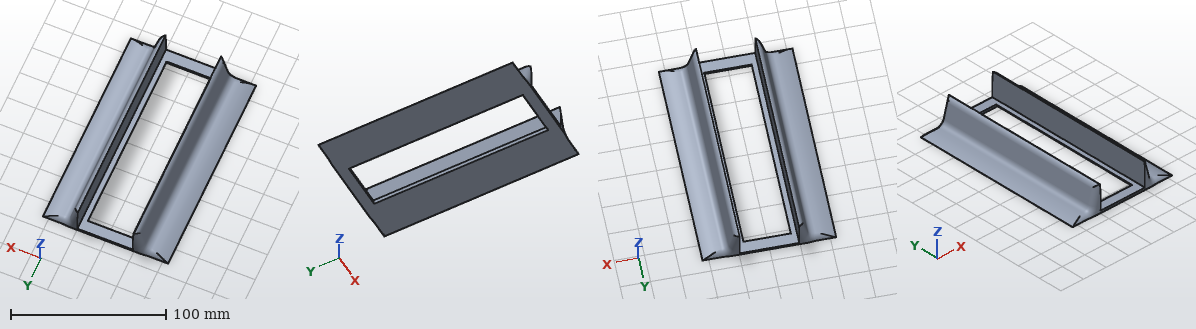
import cadquery as cq
import math

length = 144.0
half_width = 44.01
height = 22.0

inner_half_width = 19.5
base_thickness = 2.0
window_width = 31.0
window_length = 128.0
window_flare = math.radians(33.0)

flange_height = 3.0
flange_radius = 30.0
lean = math.radians(15.0)
foot_radius = 5.0
cap_radius = 5.0
end_radius = 5.0

margin = 20.0

crest_x = half_width - math.sqrt(flange_radius**2 - (flange_radius - flange_height) ** 2)
foot_center_z = flange_height + foot_radius
foot_x = crest_x - foot_radius * math.cos(lean)
foot_z = foot_center_z - foot_radius * math.sin(lean)


def wall_x(z):
    """X of the leaning outer wall face at height z."""
    return foot_x - (z - foot_z) * math.tan(lean)


def arc_point(center_x, center_z, radius, angle):
    """Point at an angle from +X; a negative radius gives the opposite side of the centre."""
    return (center_x + radius * math.cos(angle), center_z + radius * math.sin(angle))


def cap_arc():
    """Start, middle and end of the cap: tangent to the wall, ending at the top inner edge."""
    inset = (wall_x(height) - inner_half_width) * math.cos(lean)
    start_angle = lean
    end_angle = lean + math.acos((cap_radius - inset) / cap_radius)
    center_x, center_z = arc_point(inner_half_width, height, -cap_radius, end_angle)
    middle_angle = (start_angle + end_angle) / 2
    angles = (start_angle, middle_angle, end_angle)
    return [arc_point(center_x, center_z, cap_radius, angle) for angle in angles]


foot_start = (crest_x, flange_height)
foot_middle = arc_point(crest_x, foot_center_z, -foot_radius, math.pi / 4 + lean / 2)
foot_end = (foot_x, foot_z)


def extrude_along_length(outline):
    """Full-length extrusion of an XZ outline, centred on Y."""
    return outline.extrude(length / 2, both=True)


def make_rail():
    """Right-hand flange and wall at full length, with square ends."""
    flange_center_z = flange_height - flange_radius
    flange_sweep = math.acos((flange_radius - flange_height) / flange_radius)
    flange_middle_angle = math.pi / 2 - flange_sweep / 2
    flange_middle = arc_point(crest_x, flange_center_z, flange_radius, flange_middle_angle)
    cap_start, cap_middle, cap_end = cap_arc()
    return extrude_along_length(
        cq.Workplane("XZ")
        .moveTo(inner_half_width, 0)
        .lineTo(half_width, 0)
        .threePointArc(flange_middle, foot_start)
        .threePointArc(foot_middle, foot_end)
        .lineTo(*cap_start)
        .threePointArc(cap_middle, cap_end)
        .close()
    )


def make_rounded_envelope():
    """Oversized block following the flange, foot and wall, with those end edges rounded."""
    top = height + margin
    outer = half_width + margin
    block = extrude_along_length(
        cq.Workplane("XZ")
        .moveTo(-margin, -margin)
        .lineTo(outer, -margin)
        .lineTo(outer, flange_height)
        .lineTo(*foot_start)
        .threePointArc(foot_middle, foot_end)
        .lineTo(wall_x(top), top)
        .lineTo(-margin, top)
        .close()
    )
    crest_ends = cq.selectors.BoxSelector(
        (crest_x, -length, 0), (outer, length, 2 * flange_height)
    )
    return block.edges("|X").edges(crest_ends).fillet(end_radius)


def make_window():
    """Window cutter: plain ends, long sides flaring outwards from the top face down to the bottom."""
    top_half = window_width / 2
    bottom_half = top_half + base_thickness * math.tan(window_flare)
    return (
        cq.Workplane("XZ")
        .polyline(
            [
                (-bottom_half, 0),
                (bottom_half, 0),
                (top_half, base_thickness),
                (-top_half, base_thickness),
            ]
        )
        .close()
        .extrude(window_length / 2, both=True)
    )


def make_base():
    """Flat plate between the walls, with the window cut through it."""
    plate = cq.Workplane("XY").box(
        2 * inner_half_width, length, base_thickness, centered=(True, True, False)
    )
    return plate.cut(make_window())


right_rail = make_rail().intersect(make_rounded_envelope())
left_rail = right_rail.mirror("YZ")
result = make_base().union(right_rail).union(left_rail)